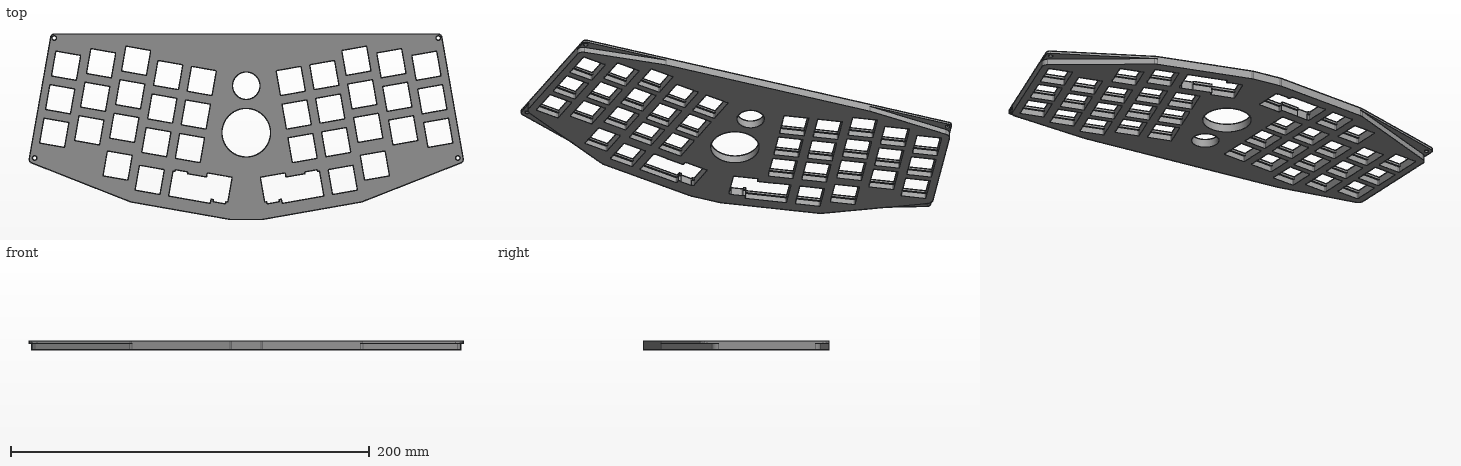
import cadquery as cq
import math

DEPTH = 103.6
THICKNESS = 5.0
PLATE_THICKNESS = 1.5
BODY_THICKNESS = THICKNESS - PLATE_THICKNESS
BACK_Y = DEPTH / 2
FRONT_Y = -DEPTH / 2

HAND_ANGLE = 10.0
SIDE_X = 117.95
FRONT_FLAT_HALF = 8.75
FRONT_KNEE_X = 64.5
CORNER_EDGE_ANGLE = 21.5
BODY_FRONT_ANGLE = 28.0
BODY_BACK_ANGLE = 5.9
BODY_BACK_KNEE_X = 60.5
PLATE_CORNER_RADIUS = 2.2
BODY_CORNER_RADIUS = 3.5
KNEE_RADIUS = 5.0

SCREW_DIAMETER = 2.4
BACK_SCREW = (107.1, 49.5)
FRONT_SCREW = (118.05, -17.4)

SMALL_ROUND_DIAMETER = 15.2
SMALL_ROUND_Y = 22.9
LARGE_ROUND_DIAMETER = 27.0
LARGE_ROUND_Y = -3.3

KEY_PITCH = 19.0
KEY_SIZE = 14.0
ROWS = 3
OPENING_CORNER_RADIUS = 0.5
STAGGER = KEY_PITCH / 4
COLUMN_STAGGER = [0, STAGGER, 2 * STAGGER, STAGGER, STAGGER]
OUTER_KEY = (-107.1, -3.35)
THUMB_DROP = KEY_PITCH * 9 / 8
RAISED_THUMB_LIFT = KEY_PITCH / 8
SINGLE_THUMB_COLUMNS = (2, 3)
CLIP_RELIEF = 0.8

STABILISER_OFFSET = 11.9
STABILISER_WIDTH = 7.0
STABILISER_BACK = 8.0
STABILISER_FRONT = 5.8


def tangent(angle):
    return math.tan(math.radians(angle))


def meet_side(x, y, slope):
    """Point where a line through (x, y) with the given slope meets the side edge."""
    lean = tangent(HAND_ANGLE)
    corner_x = (SIDE_X - lean * (y - slope * x)) / (1 + lean * slope)
    return (corner_x, y + slope * (corner_x - x))


def half_prism(points, height, corners, corner_radius, knees):
    """Extrude the right half of an outline, round its corners and knees and mirror it."""
    half = cq.Workplane("XY").polyline([(0, FRONT_Y)] + points + [(0, BACK_Y)]).close().extrude(height)

    def rounded(solid, spots, radius):
        for x, y in spots:
            solid = solid.edges(cq.selectors.NearestToPointSelector((x, y, height / 2))).fillet(radius)
        return solid

    half = rounded(half, corners, corner_radius)
    half = rounded(half, knees, KNEE_RADIUS)
    return half.union(half.mirror("YZ"))


def make_blank():
    """Plate and body joined, without openings."""
    flat_end = (FRONT_FLAT_HALF, FRONT_Y)
    knee = (FRONT_KNEE_X, FRONT_Y + (FRONT_KNEE_X - FRONT_FLAT_HALF) * tangent(HAND_ANGLE))

    plate_corners = [
        meet_side(*knee, tangent(CORNER_EDGE_ANGLE)),
        meet_side(0, BACK_Y, 0),
    ]
    plate = half_prism(
        [flat_end, knee] + plate_corners,
        PLATE_THICKNESS, plate_corners, PLATE_CORNER_RADIUS, [flat_end, knee],
    )

    back_knee = (BODY_BACK_KNEE_X, BACK_Y)
    body_corners = [
        meet_side(*knee, tangent(BODY_FRONT_ANGLE)),
        meet_side(*back_knee, -tangent(BODY_BACK_ANGLE)),
    ]
    body = half_prism(
        [flat_end, knee] + body_corners + [back_knee],
        BODY_THICKNESS, body_corners, BODY_CORNER_RADIUS, [flat_end, knee],
    )
    return body.union(plate.translate((0, 0, BODY_THICKNESS)))


def grid_box(u_min, u_max, v_min, v_max, height):
    """Upright box with rounded corners in the key grid of the left hand, placed in the part."""
    box = cq.Workplane("XY").box(u_max - u_min, v_max - v_min, height, centered=False)
    box = box.edges("|Z").fillet(OPENING_CORNER_RADIUS).translate((u_min, v_min, 0))
    return box.rotate((0, 0, 0), (0, 0, 1), -HAND_ANGLE).translate((OUTER_KEY[0], OUTER_KEY[1], 0))


def key_cutter(u, v):
    """Square plate opening with a longer opening in the body below for the switch clips."""
    half = KEY_SIZE / 2
    long_half = half + CLIP_RELIEF
    opening = grid_box(u - half, u + half, v - half, v + half, THICKNESS)
    relief = grid_box(u - half, u + half, v - long_half, v + long_half, BODY_THICKNESS)
    return [opening, relief]


def stabiliser_cutter(u, v):
    half = STABILISER_WIDTH / 2
    return grid_box(u - half, u + half, v - STABILISER_FRONT, v + STABILISER_BACK, THICKNESS)


def hand_cutters():
    """All openings of the left hand."""
    cutters = []
    for column, stagger in enumerate(COLUMN_STAGGER):
        for row in range(ROWS):
            cutters += key_cutter(column * KEY_PITCH, stagger + row * KEY_PITCH)

    for column in SINGLE_THUMB_COLUMNS:
        cutters += key_cutter(column * KEY_PITCH, COLUMN_STAGGER[column] - THUMB_DROP)

    thumb_u = (len(COLUMN_STAGGER) - 1) * KEY_PITCH
    thumb_v = COLUMN_STAGGER[-1] - THUMB_DROP
    double_u = thumb_u + KEY_PITCH / 2
    cutters += key_cutter(thumb_u, thumb_v)
    cutters += key_cutter(double_u, thumb_v)
    cutters += key_cutter(thumb_u + KEY_PITCH, thumb_v + RAISED_THUMB_LIFT)
    for side in (-1, 1):
        cutters.append(stabiliser_cutter(double_u + side * STABILISER_OFFSET, thumb_v))
    return cutters


def round_cutter(x, y, diameter):
    return cq.Workplane("XY").center(x, y).circle(diameter / 2).extrude(THICKNESS)


def all_cutters():
    """Openings of both hands, the screw holes and the round openings."""
    left = hand_cutters()
    for x, y in (BACK_SCREW, FRONT_SCREW):
        left.append(round_cutter(-x, y, SCREW_DIAMETER))
    right = [cutter.mirror("YZ") for cutter in left]
    centre = [
        round_cutter(0, SMALL_ROUND_Y, SMALL_ROUND_DIAMETER),
        round_cutter(0, LARGE_ROUND_Y, LARGE_ROUND_DIAMETER),
    ]
    return left + right + centre


cut_plate = make_blank().val().cut(*[cutter.val() for cutter in all_cutters()]).clean()
result = cq.Workplane("XY").newObject(cut_plate.Solids())